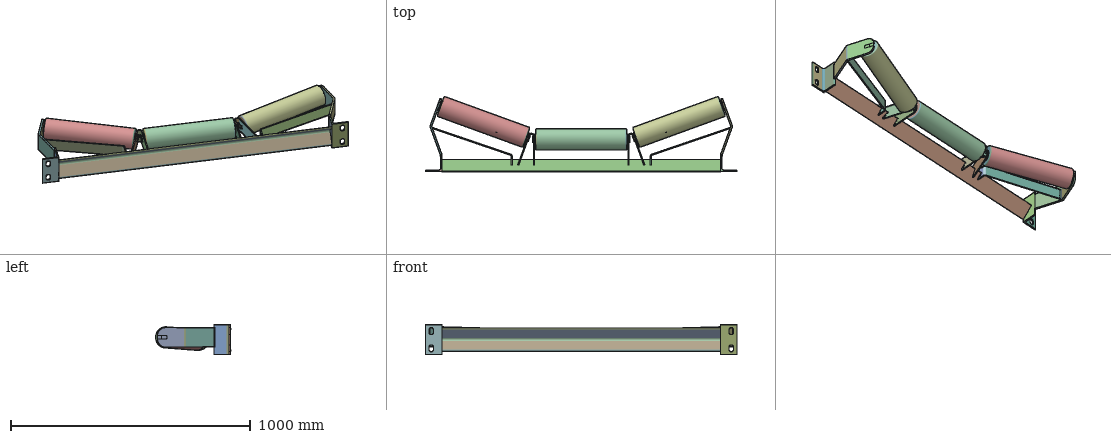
import cadquery as cq
import math

TROUGH_ANGLE = 20.0
FORWARD_TILT = 1.5
TROUGH_SIN = math.sin(math.radians(TROUGH_ANGLE))
TROUGH_COS = math.cos(math.radians(TROUGH_ANGLE))
TROUGH_TAN = TROUGH_SIN / TROUGH_COS

ROOT_RADIUS = 9.0
TOE_RADIUS = 4.5

BEAM_LENGTH = 1160.0
BEAM_LEG = 70.0
BEAM_THICKNESS = 7.0
BEAM_TURN = 135.0
BEAM_CORNER_Y = (BEAM_LEG + BEAM_THICKNESS - 2 * TOE_RADIUS) * math.sqrt(0.5) + TOE_RADIUS

FOOT_LEG = 70.0
FOOT_THICKNESS = 6.0
FOOT_HEIGHT = 125.0
FOOT_FRONT_Y = 1.5
HOLE_WIDTH = 18.0
HOLE_LENGTH = 29.0
HOLE_EDGE_DISTANCE = 25.0
HOLE_SPACING = 71.0
STRIP_WIDTH = 80.0
STRIP_THICKNESS = 8.0
ELBOW_Y = 190.0
ELBOW_RADIUS = 5.0
TIP_REACH = 34.0
TIP_CORNER_RADIUS = 30.0

ROLLER_DIAMETER = 89.0
ROLLER_LENGTH = 380.0
ROLLER_END_FILLET = 4.0
ROLLER_GAP = 5.0
COLLAR_DIAMETER = 46.0
COLLAR_OVERHANG = 4.0
TONGUE_WIDTH = 16.0
TONGUE_HEIGHT = 25.0
CENTRE_ROLLER_Y = 135.5
SIDE_ROLLER_X = 407.5
SIDE_ROLLER_Y = 208.4
SIDE_ROLLER_Z = 5.0

SADDLE_WIDTH = 60.0
STRUT_WIDTH = 52.0
PLATE_THICKNESS = 5.0
PLATE_Z = 2.0
PLATE_FOOT_Y = 29.0
SADDLE_BEND_RADIUS = 8.0
STRUT_FOOT_X = 289.5
STRUT_BEND_Y = 70.0
STRUT_BEND_RADIUS = 5.0
STRUT_TOP_Y = 184.5

HALF_BEAM = BEAM_LENGTH / 2
HALF_ROLLER = ROLLER_LENGTH / 2
STRIP_BEND_Y = FOOT_FRONT_Y + FOOT_LEG
STRIP_MIDDLE_X = HALF_BEAM + STRIP_THICKNESS / 2
OUTER_END_Y = SIDE_ROLLER_Y + HALF_ROLLER * TROUGH_SIN
OUTER_END_Z = SIDE_ROLLER_Z + HALF_ROLLER * math.sin(math.radians(FORWARD_TILT))
INNER_END_X = SIDE_ROLLER_X - HALF_ROLLER * TROUGH_COS
INNER_END_Y = SIDE_ROLLER_Y - HALF_ROLLER * TROUGH_SIN
AXLE_LENGTH = ROLLER_LENGTH + 2 * (ROLLER_GAP + STRIP_THICKNESS)


def angle_profile(workplane, leg, thickness):
    """Rolled angle section with its outer corner at the origin and legs along +x and +y."""
    toe_flat = thickness - TOE_RADIUS
    toe_start = leg - TOE_RADIUS
    toe_mid = TOE_RADIUS * math.sqrt(0.5)
    root = thickness + ROOT_RADIUS
    root_mid = root - ROOT_RADIUS * math.sqrt(0.5)
    return (
        workplane.lineTo(leg, 0)
        .lineTo(leg, toe_flat)
        .threePointArc((toe_start + toe_mid, toe_flat + toe_mid), (toe_start, thickness))
        .lineTo(root, thickness)
        .threePointArc((root_mid, root_mid), (thickness, root))
        .lineTo(thickness, toe_start)
        .threePointArc((toe_flat + toe_mid, toe_start + toe_mid), (toe_flat, leg))
        .lineTo(0, leg)
        .close()
    )


def mitre_corner(path, index, thickness):
    """Left and right corner of a strip at one point of its middle line, and whether it turns left."""
    points = [cq.Vector(*point) for point in path]
    start = max(index - 1, 0)
    end = min(index, len(path) - 2)
    incoming = (points[start + 1] - points[start]).normalized()
    outgoing = (points[end + 1] - points[end]).normalized()
    normal = cq.Vector(-incoming.y - outgoing.y, incoming.x + outgoing.x)
    offset = normal * (thickness / 2 / (1 + incoming.dot(outgoing)))
    turns_left = incoming.cross(outgoing).z > 0
    return points[index] + offset, points[index] - offset, turns_left


def bent_strip(path, thickness, width, bend_index, bend_radius):
    """Strip along a middle line in XY, centred on Z = 0, with one bend rounded to an inside radius."""
    corners = [mitre_corner(path, index, thickness) for index in range(len(path))]
    outline = [left for left, _, _ in corners] + [right for _, right, _ in reversed(corners)]
    strip = (
        cq.Workplane("XY", origin=(0, 0, -width / 2))
        .polyline([(point.x, point.y) for point in outline])
        .close()
        .extrude(width)
    )
    left, right, turns_left = corners[bend_index]
    inside, outside = (left, right) if turns_left else (right, left)
    for corner, radius in ((inside, bend_radius), (outside, bend_radius + thickness)):
        nearest = cq.selectors.NearestToPointSelector((corner.x, corner.y, 0))
        strip = strip.edges("|Z").edges(nearest).fillet(radius)
    return strip


def mirrored(shape):
    return shape.mirror("YZ")


def x_cylinder(diameter, length):
    return cq.Workplane("YZ", origin=(-length / 2, 0, 0)).circle(diameter / 2).extrude(length)


def make_tongue(length, height):
    """Bar along X with a round bottom, reaching up to the given height above the axis."""
    radius = TONGUE_WIDTH / 2
    bottom = -TONGUE_HEIGHT / 2
    return (
        cq.Workplane("YZ", origin=(-length / 2, 0, 0))
        .moveTo(height, -radius)
        .lineTo(height, radius)
        .lineTo(bottom + radius, radius)
        .threePointArc((bottom, 0), (bottom + radius, -radius))
        .close()
        .extrude(length)
    )


def make_axle():
    collar = x_cylinder(COLLAR_DIAMETER, ROLLER_LENGTH + 2 * COLLAR_OVERHANG)
    return make_tongue(AXLE_LENGTH, TONGUE_HEIGHT / 2).union(collar)


def make_roller():
    roller = x_cylinder(ROLLER_DIAMETER, ROLLER_LENGTH).edges("%CIRCLE").fillet(ROLLER_END_FILLET)
    return roller.cut(x_cylinder(COLLAR_DIAMETER, ROLLER_LENGTH))


def make_axle_slot():
    """Room for an axle that is lowered into its supports from above."""
    return make_tongue(AXLE_LENGTH, STRIP_WIDTH)


def on_centre_axis(shape):
    return shape.translate((0, CENTRE_ROLLER_Y, 0))


def on_side_axis(shape):
    """Move a shape built along X about the origin onto the axis of the +X side roller."""
    return (
        shape.rotate((0, 0, 0), (0, 1, 0), -FORWARD_TILT)
        .rotate((0, 0, 0), (0, 0, 1), TROUGH_ANGLE)
        .translate((SIDE_ROLLER_X, SIDE_ROLLER_Y, SIDE_ROLLER_Z))
    )


def make_foot():
    foot = (
        angle_profile(cq.Workplane("XY"), FOOT_LEG, FOOT_THICKNESS)
        .extrude(FOOT_HEIGHT / 2, both=True)
        .translate((HALF_BEAM, FOOT_FRONT_Y, 0))
    )
    holes = (
        cq.Workplane("XZ", origin=(HALF_BEAM + FOOT_LEG - HOLE_EDGE_DISTANCE, FOOT_FRONT_Y, 0))
        .rarray(1, HOLE_SPACING, 1, 2)
        .slot2D(HOLE_LENGTH, HOLE_WIDTH, 90)
        .extrude(-FOOT_THICKNESS)
    )
    return foot.cut(holes)


def make_strip():
    elbow_x = STRIP_MIDDLE_X + (ELBOW_Y - STRIP_BEND_Y) * TROUGH_TAN
    tip_y = OUTER_END_Y + TIP_REACH * TROUGH_COS
    tip_x = elbow_x - (tip_y - ELBOW_Y) * TROUGH_TAN
    path = [
        (STRIP_MIDDLE_X, STRIP_BEND_Y - TOE_RADIUS),
        (STRIP_MIDDLE_X, STRIP_BEND_Y),
        (elbow_x, ELBOW_Y),
        (tip_x, tip_y),
    ]
    strip = bent_strip(path, STRIP_THICKNESS, STRIP_WIDTH, 2, ELBOW_RADIUS)
    tip_corners = cq.selectors.BoxSelector(
        (tip_x - STRIP_THICKNESS, tip_y - STRIP_THICKNESS, -STRIP_WIDTH),
        (tip_x + STRIP_THICKNESS, tip_y + STRIP_THICKNESS, STRIP_WIDTH),
    )
    across = cq.selectors.ParallelDirSelector(cq.Vector(TROUGH_COS, TROUGH_SIN, 0))
    strip = strip.edges(across).edges(tip_corners).fillet(TIP_CORNER_RADIUS)
    return strip.translate((0, 0, OUTER_END_Z)).cut(on_side_axis(make_axle_slot()))


def make_saddle():
    """Plate folded over between the centre roller and a side roller."""
    face_offset = ROLLER_GAP + PLATE_THICKNESS / 2
    upright_x = HALF_ROLLER + face_offset
    slope_x = INNER_END_X - face_offset * TROUGH_COS
    slope_y = INNER_END_Y - face_offset * TROUGH_SIN
    fold_y = slope_y + (slope_x - upright_x) / TROUGH_TAN
    slope_foot_x = slope_x + (slope_y - PLATE_FOOT_Y) * TROUGH_TAN
    path = [(upright_x, PLATE_FOOT_Y), (upright_x, fold_y), (slope_foot_x, PLATE_FOOT_Y)]
    saddle = bent_strip(path, PLATE_THICKNESS, SADDLE_WIDTH, 1, SADDLE_BEND_RADIUS)
    saddle = saddle.translate((0, 0, PLATE_Z))
    return saddle.cut(on_centre_axis(make_axle_slot())).cut(on_side_axis(make_axle_slot()))


def make_strut(end_bracket):
    """Brace from the beam to the bent strip, ending flush on the strip."""
    top_x = STRIP_MIDDLE_X + (STRUT_TOP_Y - STRIP_BEND_Y) * TROUGH_TAN
    path = [(STRUT_FOOT_X, PLATE_FOOT_Y), (STRUT_FOOT_X, STRUT_BEND_Y), (top_x, STRUT_TOP_Y)]
    strut = bent_strip(path, PLATE_THICKNESS, STRUT_WIDTH, 1, STRUT_BEND_RADIUS)
    return strut.translate((0, 0, PLATE_Z)).cut(end_bracket)


def make_beam():
    return (
        angle_profile(cq.Workplane("YZ"), BEAM_LEG, BEAM_THICKNESS)
        .extrude(HALF_BEAM, both=True)
        .rotate((0, 0, 0), (1, 0, 0), BEAM_TURN)
        .translate((0, BEAM_CORNER_Y, 0))
    )


def make_beam_notch():
    """Wedge under the outer faces of the beam, which the plates straddle."""
    return (
        cq.Workplane("YZ", origin=(-HALF_BEAM, 0, 0))
        .polyline([(BEAM_CORNER_Y, 0), (0, BEAM_CORNER_Y), (0, -BEAM_CORNER_Y)])
        .close()
        .extrude(BEAM_LENGTH)
    )


end_bracket = make_foot().union(make_strip())
plates = make_saddle().union(make_strut(end_bracket)).cut(make_beam_notch())
frame = make_beam().union(plates).union(mirrored(plates))

centre_roller = on_centre_axis(make_roller())
centre_axle = on_centre_axis(make_axle())
side_roller = on_side_axis(make_roller())
side_axle = on_side_axis(make_axle())

bodies = [frame, centre_roller, centre_axle]
for body in (end_bracket, side_roller, side_axle):
    bodies += [body, mirrored(body)]

result = cq.Compound.makeCompound([body.val() for body in bodies])